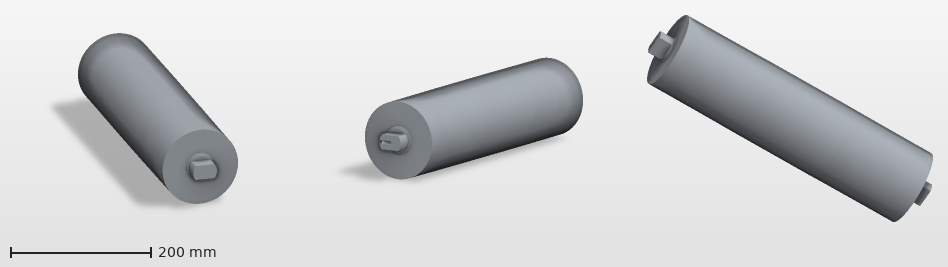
import cadquery as cq

total_length = 457.0
roll_length = 411.5
crown_length = roll_length / 3
cap_length = 11.0

crown_diameter = 113.5
cap_diameter = 112.5

shaft_diameter = 35.0
across_flats = 21.0
shoulder_length = 1.5

seal_diameter = 42.0
rim_height = 0.25
seal_height = 1.5
gap_diameter = 44.0
gap_depth = 1.0

channel_width = 5.0
channel_depth = 5.0
pocket_length = 4.0
pocket_depth = 3.5

roll_end = roll_length / 2
shaft_end = total_length / 2
shoulder_start = roll_end + seal_height
flats_start = shoulder_start + shoulder_length


def crowned_roll():
    """Roll with a cylindrical middle, tapered sides and cylindrical end caps."""
    cap_start = roll_end - cap_length
    return (
        cq.Workplane("XY")
        .moveTo(-roll_end, 0)
        .lineTo(-roll_end, cap_diameter / 2)
        .lineTo(-cap_start, cap_diameter / 2)
        .lineTo(-crown_length / 2, crown_diameter / 2)
        .lineTo(crown_length / 2, crown_diameter / 2)
        .lineTo(cap_start, cap_diameter / 2)
        .lineTo(roll_end, cap_diameter / 2)
        .lineTo(roll_end, 0)
        .close()
        .revolve(360, (0, 0, 0), (1, 0, 0))
    )


def ring_gap():
    """Ring cut into the +X face of the roll around the seal."""
    return (
        cq.Workplane("YZ", origin=(roll_end - gap_depth, 0, 0))
        .circle(gap_diameter / 2)
        .circle(seal_diameter / 2)
        .extrude(gap_depth)
    )


def seal():
    """Cone rising from a short rim on the +X face up to the shaft."""
    return (
        cq.Workplane("XY")
        .moveTo(roll_end, 0)
        .lineTo(roll_end, seal_diameter / 2)
        .lineTo(roll_end + rim_height, seal_diameter / 2)
        .lineTo(shoulder_start, shaft_diameter / 2)
        .lineTo(shoulder_start, 0)
        .close()
        .revolve(360, (0, 0, 0), (1, 0, 0))
    )


def flatted_shaft():
    """Shaft end on the +X side, round at its shoulder and with flats above and below beyond it."""
    rod = (
        cq.Workplane("YZ", origin=(roll_end, 0, 0))
        .circle(shaft_diameter / 2)
        .extrude(shaft_end - roll_end)
    )
    outside_flats = (
        cq.Workplane("YZ", origin=(flats_start, 0, 0))
        .rect(2 * shaft_diameter, 2 * shaft_diameter)
        .rect(2 * shaft_diameter, across_flats)
        .extrude(shaft_end - flats_start)
    )
    return rod.cut(outside_flats)


def cable_channel():
    """Round-floored channel from the +Y side of the -X shaft end to a flat-floored end pocket."""
    pocket_half = pocket_length / 2
    floor_radius = channel_width / 2
    floor_axis_x = -shaft_end + channel_depth
    length = shaft_diameter / 2 - pocket_half
    straight = (
        cq.Workplane("XY")
        .box(channel_depth, length, channel_width, centered=(False, False, True))
        .translate((-shaft_end, pocket_half, 0))
    )
    round_floor = (
        cq.Workplane("XZ", origin=(floor_axis_x, pocket_half, 0))
        .circle(floor_radius)
        .extrude(-length)
    )
    pocket = (
        cq.Workplane("XY")
        .box(pocket_depth, pocket_length, channel_width, centered=(False, True, True))
        .translate((-shaft_end, 0, 0))
    )
    return straight.union(round_floor).union(pocket)


def on_both_ends(feature):
    """Join a +X feature with its mirror image on the -X side."""
    return feature.union(feature.mirror("YZ"))


result = (
    crowned_roll()
    .cut(on_both_ends(ring_gap()))
    .union(on_both_ends(seal()))
    .union(on_both_ends(flatted_shaft()))
    .cut(cable_channel())
)